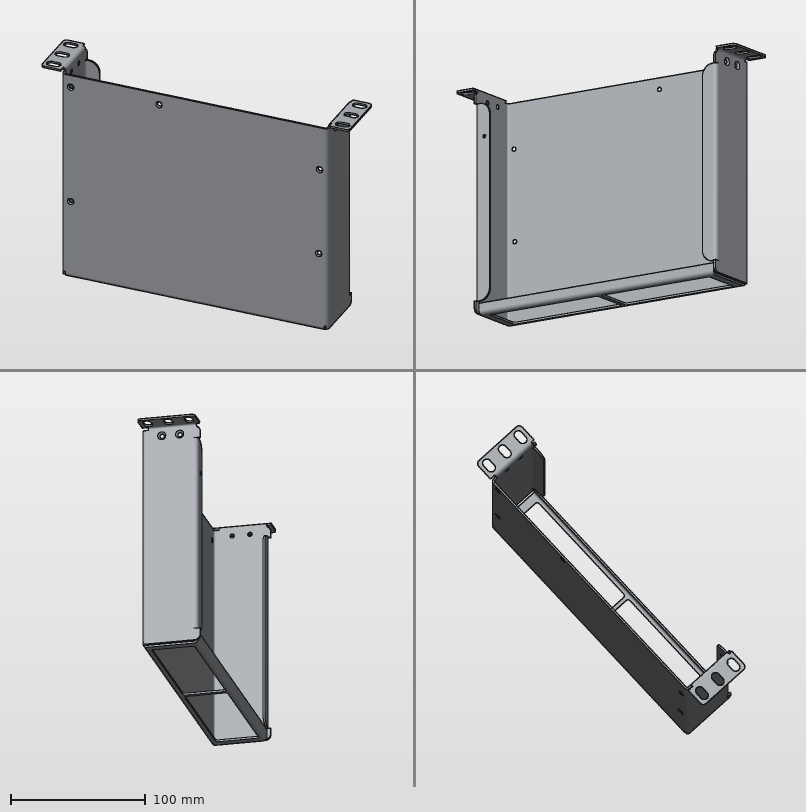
import cadquery as cq
import math

PLUS_X, MINUS_X = (1, 0, 0), (-1, 0, 0)
PLUS_Y, MINUS_Y = (0, 1, 0), (0, -1, 0)
PLUS_Z, MINUS_Z = (0, 0, 1), (0, 0, -1)

SHEET = 1.5
INNER_RADIUS = 1.5
OUTER_RADIUS = INNER_RADIUS + SHEET

OVERALL_WIDTH = 249.41
OVERALL_DEPTH = 44.4
OVERALL_HEIGHT = 174.3
X_MAX = OVERALL_WIDTH / 2
Y_MAX = OVERALL_DEPTH / 2
Z_MAX = OVERALL_HEIGHT / 2
Y_FRONT = -Y_MAX
Z_BOTTOM = -Z_MAX

EAR_OVERHANG = 16.95
WALL_OUTER_X = X_MAX - EAR_OVERHANG
WALL_INNER_X = WALL_OUTER_X - SHEET
FLAT_X = WALL_OUTER_X - OUTER_RADIUS
Z_WALL_TOP = Z_MAX - OUTER_RADIUS
Z_WALL_BOTTOM = Z_BOTTOM + SHEET
WALL_PANEL_LEG = 2 * OUTER_RADIUS
TAB_HEIGHT = 9.1
TAB_RADIUS = 4.0
CORNER_RELIEF_HEIGHT = 2.5
CORNER_RELIEF_ANGLE = math.radians(30)
Z_LIP_TOP = Z_WALL_TOP - TAB_HEIGHT
Z_LIP_BOTTOM = Z_WALL_BOTTOM + TAB_HEIGHT
RELIEF_REACH = 2 * OUTER_RADIUS

SIDE_LIP_Y = 20.7
SIDE_LIP_WIDTH = 12.5
SIDE_LIP_RADIUS = 8.7
BOTTOM_LIP_Y = 20.0
BOTTOM_LIP_HEIGHT = 9.0
LIP_HOLE_DIAMETER = 2.53
LIP_HOLE_X = 99.8
LIP_HOLE_Z = 49.2

EAR_LENGTH = 43.9
EAR_CORNER_RADIUS = 3.0
EAR_FRONT_Y = Y_MAX - EAR_LENGTH
EAR_CENTRE_Y = Y_MAX - EAR_LENGTH / 2
EAR_BEND_FRONT_Y = -17.3
EAR_BEND_REAR_Y = 19.4
EAR_RELIEF_ANGLE = math.radians(15)
EAR_FLAT_X = WALL_OUTER_X + INNER_RADIUS
SLOT_LENGTH = 11.0
SLOT_WIDTH = 6.2
SLOT_COUNT = 3
SLOT_PITCH = 15.875
SLOT_EDGE_DISTANCE = 7.8
SLOT_X = X_MAX - SLOT_EDGE_DISTANCE

WINDOW_WIDTH = 96.7
WINDOW_DEPTH = 33.0
WINDOW_BAR = 3.0
WINDOW_RADIUS = 2.0
WINDOWS_CENTRE_X = 0.3
WINDOWS_CENTRE_Y = -0.8

SCREW_HOLE_DIAMETER = 3.2
COUNTERSINK_ANGLE = 90
PANEL_COUNTERSINK = 5.2
WALL_COUNTERSINK = 6.2
PANEL_HOLES = [
    (-100.4, 74.3),
    (-28.9, 75.2),
    (101.1, 48.7),
    (-100.4, -22.5),
    (100.4, -22.5),
]
WALL_HOLE_Z = 78.8
WALL_HOLE_YS = (6.6, -7.1)


def box(x0, x1, y0, y1, z0, z1):
    """Box between two opposite corners."""
    return cq.Workplane("XY").box(x1 - x0, y1 - y0, z1 - z0, centered=False).translate((x0, y0, z0))


def mirrored_pair(right_half):
    """Right-hand body joined with its left-hand mirror image."""
    return right_half.union(right_half.mirror("YZ"))


def countersink_cutter(head_diameter):
    """Screw hole running along -Y from the origin, countersunk at the origin."""
    hole_radius = SCREW_HOLE_DIAMETER / 2
    head_radius = head_diameter / 2
    cone_depth = (head_radius - hole_radius) / math.tan(math.radians(COUNTERSINK_ANGLE / 2))
    cone = cq.Solid.makeCone(head_radius, hole_radius, cone_depth, dir=cq.Vector(*MINUS_Y))
    drill = cq.Solid.makeCylinder(hole_radius, 2 * SHEET, dir=cq.Vector(*MINUS_Y))
    return cq.Workplane(cone).union(cq.Workplane(drill))


def angle_bar(corner, leg_1, leg_2, length):
    """
    Bent strip of sheet with two legs and a round bend.

    corner is the sharp outer corner at the start of the strip. Each leg is (direction, size).
    The strip runs along the cross product of the two leg directions.
    """
    direction_1, size_1 = leg_1
    direction_2, size_2 = leg_2
    along = cq.Vector(*direction_1).cross(cq.Vector(*direction_2))
    plane = cq.Plane(origin=corner, xDir=direction_1, normal=along)
    outer_middle = OUTER_RADIUS * (1 - math.sqrt(0.5))
    inner_middle = OUTER_RADIUS - INNER_RADIUS * math.sqrt(0.5)
    return (
        cq.Workplane(plane)
        .moveTo(size_1, 0)
        .lineTo(OUTER_RADIUS, 0)
        .threePointArc((outer_middle, outer_middle), (0, OUTER_RADIUS))
        .lineTo(0, size_2)
        .lineTo(SHEET, size_2)
        .lineTo(SHEET, OUTER_RADIUS)
        .threePointArc((inner_middle, inner_middle), (OUTER_RADIUS, SHEET))
        .lineTo(size_1, SHEET)
        .close()
        .extrude(length)
    )


def make_panel_and_bottom():
    """Front panel, bent along its lower edge into the bottom wall, which ends in a rear lip."""
    panel = angle_bar(
        (-FLAT_X, Y_FRONT, Z_BOTTOM),
        (PLUS_Y, -Y_FRONT),
        (PLUS_Z, Z_WALL_TOP - Z_BOTTOM),
        2 * FLAT_X,
    )
    rear = angle_bar(
        (FLAT_X, BOTTOM_LIP_Y, Z_BOTTOM),
        (MINUS_Y, BOTTOM_LIP_Y),
        (PLUS_Z, BOTTOM_LIP_HEIGHT),
        2 * FLAT_X,
    )
    return panel.union(rear)


def make_side_wall():
    """Right wall, bent from the front panel, with a rounded tab at each end of its rear edge."""
    wall = angle_bar(
        (WALL_OUTER_X, Y_FRONT, Z_WALL_TOP),
        (MINUS_X, WALL_PANEL_LEG),
        (PLUS_Y, OVERALL_DEPTH),
        Z_WALL_TOP - Z_WALL_BOTTOM,
    )
    wall = wall.edges("|X and >Y").fillet(TAB_RADIUS)
    lip_recess = box(
        WALL_INNER_X, WALL_OUTER_X, SIDE_LIP_Y - OUTER_RADIUS, Y_MAX, Z_LIP_BOTTOM, Z_LIP_TOP
    )
    bend_centre_y = Y_FRONT + OUTER_RADIUS
    corner_relief = (
        cq.Workplane("XY", origin=(FLAT_X, bend_centre_y, Z_WALL_BOTTOM))
        .polyline(
            [
                (0, 0),
                (RELIEF_REACH * math.sin(CORNER_RELIEF_ANGLE), -RELIEF_REACH * math.cos(CORNER_RELIEF_ANGLE)),
                (-RELIEF_REACH, -RELIEF_REACH * math.cos(CORNER_RELIEF_ANGLE)),
                (-RELIEF_REACH, 0),
            ]
        )
        .close()
        .extrude(CORNER_RELIEF_HEIGHT)
    )
    return wall.cut(lip_recess).cut(corner_relief)


def make_side_lip():
    """Inward lip along the rear edge of the right wall, with rounded corners."""
    lip = angle_bar(
        (WALL_OUTER_X, SIDE_LIP_Y, Z_LIP_BOTTOM),
        (MINUS_X, SIDE_LIP_WIDTH),
        (MINUS_Y, OUTER_RADIUS + SHEET),
        Z_LIP_TOP - Z_LIP_BOTTOM,
    )
    return lip.edges("|Y and <X").fillet(SIDE_LIP_RADIUS)


def ear_relief_cutter(start_y, end_y):
    """Cutter for the part of the ear bend that lies beyond the ear relief angle."""
    start_x = -RELIEF_REACH * math.sin(EAR_RELIEF_ANGLE)
    start_z = RELIEF_REACH * math.cos(EAR_RELIEF_ANGLE)
    return (
        cq.Workplane("XZ", origin=(EAR_FLAT_X, end_y, Z_WALL_TOP))
        .polyline(
            [
                (0, 0),
                (start_x, start_z),
                (-RELIEF_REACH, start_z),
                (-RELIEF_REACH, -RELIEF_REACH),
                (0, -RELIEF_REACH),
            ]
        )
        .close()
        .extrude(end_y - start_y)
    )


def make_ear():
    """Right mounting ear: a slotted plate on a bend that is relieved at both ends."""
    bend = angle_bar(
        (WALL_INNER_X, EAR_FRONT_Y, Z_MAX),
        (PLUS_X, OUTER_RADIUS + SHEET),
        (MINUS_Z, OUTER_RADIUS + SHEET),
        EAR_LENGTH,
    )
    for start_y, end_y in [(EAR_FRONT_Y, EAR_BEND_FRONT_Y), (EAR_BEND_REAR_Y, Y_MAX)]:
        bend = bend.cut(ear_relief_cutter(start_y, end_y))
    plate = box(EAR_FLAT_X, X_MAX, EAR_FRONT_Y, Y_MAX, Z_MAX - SHEET, Z_MAX)
    plate = plate.edges("|Z and >X").fillet(EAR_CORNER_RADIUS)
    slots = (
        cq.Workplane("XY")
        .workplane(offset=Z_MAX - SHEET)
        .center(SLOT_X, EAR_CENTRE_Y)
        .rarray(1, SLOT_PITCH, 1, SLOT_COUNT)
        .slot2D(SLOT_LENGTH, SLOT_WIDTH)
        .extrude(SHEET)
    )
    return bend.union(plate.cut(slots))


def make_window_cutter():
    """Two rounded windows through the bottom wall, either side of a narrow bar."""
    return (
        cq.Workplane("XY")
        .workplane(offset=Z_BOTTOM)
        .center(WINDOWS_CENTRE_X, WINDOWS_CENTRE_Y)
        .rarray(WINDOW_WIDTH + WINDOW_BAR, 1, 2, 1)
        .rect(WINDOW_WIDTH, WINDOW_DEPTH)
        .extrude(SHEET)
        .edges("|Z")
        .fillet(WINDOW_RADIUS)
    )


def cut_panel_holes(solid):
    """Countersunk holes through the front panel."""
    cutter = countersink_cutter(PANEL_COUNTERSINK).rotate((0, 0, 0), (1, 0, 0), 180)
    for x, z in PANEL_HOLES:
        solid = solid.cut(cutter.translate((x, Y_FRONT, z)))
    return solid


def cut_wall_holes(wall):
    """Countersunk holes near the top of the right wall."""
    cutter = countersink_cutter(WALL_COUNTERSINK).rotate((0, 0, 0), (0, 0, 1), -90)
    for y in WALL_HOLE_YS:
        wall = wall.cut(cutter.translate((WALL_OUTER_X, y, WALL_HOLE_Z)))
    return wall


def make_lip_hole_cutter():
    """Plain hole through the right-hand lip."""
    return (
        cq.Workplane("XZ", origin=(LIP_HOLE_X, SIDE_LIP_Y, LIP_HOLE_Z))
        .circle(LIP_HOLE_DIAMETER / 2)
        .extrude(SHEET)
    )


right_side = cut_wall_holes(make_side_wall()).union(make_side_lip()).union(make_ear())
body = make_panel_and_bottom().union(mirrored_pair(right_side))
body = body.cut(make_window_cutter())
body = cut_panel_holes(body)
result = body.cut(make_lip_hole_cutter())